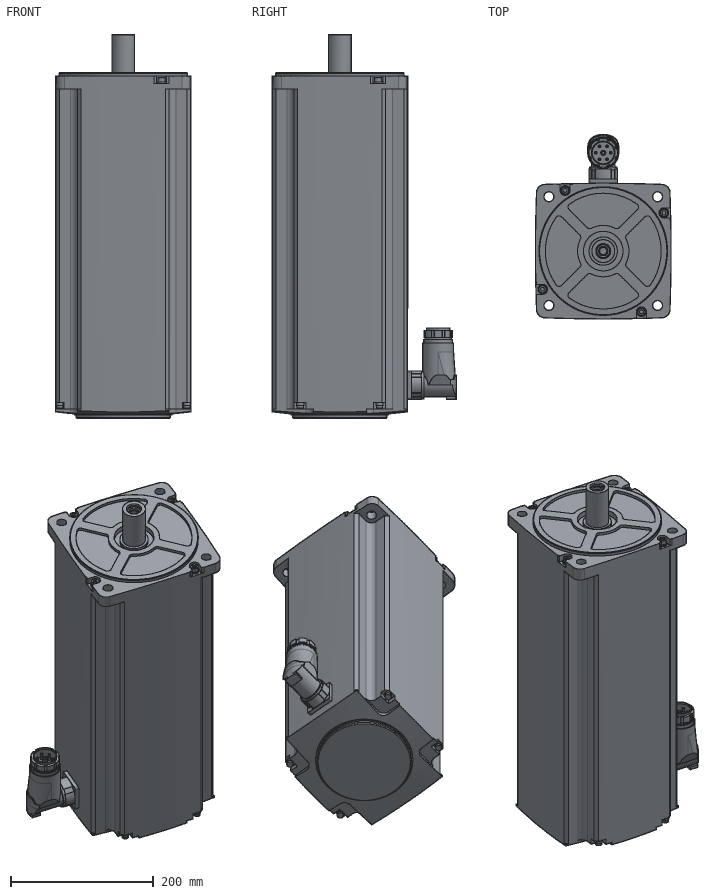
import cadquery as cq
import math

half_width = 95.0
side_bulge = 2.0
shaft_length = 58.0
total_length = 537.0
bottom_z = shaft_length - total_length
outer_reach_y = 163.3

flange_thickness = 18.0
flange_corner_radius = 12.0
mount_hole_diameter = 13.5
mount_hole_offset = 76.0

spigot_radius = 90.0
spigot_height = 5.0
spigot_chamfer = 1.0
pocket_outer_radius = 81.0
pocket_inner_radius = 36.0
pocket_depth = 4.0
pocket_corner_radius = 5.0
rib_width = 14.6
bearing_recess_radius = 27.7
bearing_recess_depth = 8.0
seal_radius = 19.8
seal_height = 4.0

shaft_radius = 16.0
centre_mouth_diameter = 21.0
centre_recess_diameter = 18.0
centre_recess_depth = 4.0
centre_counterbore_diameter = 13.0
centre_counterbore_depth = 8.0
centre_hole_diameter = 10.11
centre_hole_depth = 30.0

screw_along = 53.4
screw_across = 85.0
screw_slot_width = 14.0
screw_slot_depth = 10.0
screw_relief_width = 21.0
screw_relief_depth = 1.0
washer_diameter = 13.0
washer_height = 2.0
screw_head_diameter = 10.11
screw_head_height = 6.0
screw_socket_diameter = 5.2
screw_socket_depth = 3.0

channel_inset = 64.0
channel_radius = 10.0
channel_chamfer_sum = 153.5

cap_top_z = -465.2
cap_cut_x = 64.0
cap_cut_y = 37.0
cap_rim_z = -466.5
cap_cone_radius = 125.0
cap_hub_z = -472.5
hub_radius = 68.0
cover_radius = 66.0
cover_step_z = -474.0
cover_chamfer = 1.5

window_depth = 12.0
window_inner_y = 47.0
window_height = 8.6
cap_screw_diameter = 9.0
cap_screw_gap = 0.8
cap_washer_diameter = 10.11
cap_washer_height = 4.0

plug_z = -432.2
plate_size = 40.3
plate_outer_y = 100.5
plate_corner_radius = 2.5
collar_diameter = 40.3
collar_end_y = 114.5
collar_groove_width = 7.5
collar_groove_depth = 1.5
washer_ring_diameter = 38.0
washer_ring_end_y = 117.5
entry_radius = 16.5
barrel_radius = 21.75
barrel_y = 137.5
back_y = 147.5
back_depth = outer_reach_y - back_y
barrel_top_z = -373.3
wedge_top_z = -386.0
wedge_bottom_z = -424.0
wedge_back_step = 1.5
foot_bottom_z = -452.2
foot_top_z = -448.0
foot_front_y = 149.0
foot_half_width = 10.0
bevel_end_y = 155.0
bevel_inset = 17.0
bevel_top_z = -417.7
neck_diameter = 40.3
neck_top_z = -368.5
ring_root_diameter = 37.0
ring_bottom_z = -365.5
ring_top_z = -355.5
ring_notch_count = 8
ring_notch_width = 4.0
ring_notch_depth = 1.5
mouth_diameter = 32.73
mouth_top_z = -352.0
mouth_bore_diameter = 30.85
mouth_bore_depth = 16.0
pin_count = 6
pin_circle_radius = 10.5
pin_diameter = 3.6
pin_length = 10.0
pin_hole_diameter = 2.0
pin_hole_depth = 5.0
centre_post_diameter = 7.06
centre_post_hole_diameter = 4.0

overlap = 1.0
clear = 10.0
corners = [(sx, sy) for sx in (-1, 1) for sy in (-1, 1)]


def cylinder(radius, z_low, z_high, x=0.0, y=0.0):
    """Upright cylinder between two heights."""
    base = cq.Workplane("XY", origin=(x, y, z_low))
    return base.circle(radius).extrude(z_high - z_low)


def cylinder_y(radius, y_low, y_high):
    """Cylinder along Y on the connector entry axis."""
    base = cq.Workplane("XZ", origin=(0, y_low, plug_z))
    return base.circle(radius).extrude(y_low - y_high)


def box(x_range, y_range, z_range):
    """Axis-aligned box between pairs of limits, in any order."""
    lows = [min(r) for r in (x_range, y_range, z_range)]
    sizes = [abs(r[1] - r[0]) for r in (x_range, y_range, z_range)]
    return cq.Workplane("XY").box(*sizes, centered=False).translate(tuple(lows))


def bulged_block(z_low, z_high):
    """Square block whose four sides are shallow outward arcs."""
    c = half_width - side_bulge
    outline = (
        cq.Workplane("XY", origin=(0, 0, z_low))
        .moveTo(-c, -c)
        .threePointArc((0, -half_width), (c, -c))
        .threePointArc((half_width, 0), (c, c))
        .threePointArc((0, half_width), (-c, c))
        .threePointArc((-half_width, 0), (-c, -c))
        .close()
    )
    return outline.extrude(z_high - z_low)


def at_corner(shape, sx, sy):
    """Mirror a shape drawn in the +X +Y quadrant into the given quadrant."""
    if sx < 0:
        shape = shape.mirror("YZ")
    if sy < 0:
        shape = shape.mirror("XZ")
    return shape


def make_housing():
    """Long housing with a rounded, bevelled channel along every corner."""
    housing = bulged_block(cap_top_z, -flange_thickness)
    outside = half_width + clear
    mouth = channel_chamfer_sum - channel_inset
    beyond = channel_chamfer_sum - outside
    arc_end = channel_inset + channel_radius
    arc_mid = arc_end - channel_radius * math.sqrt(0.5)
    channel = (
        cq.Workplane("XY", origin=(0, 0, cap_top_z))
        .moveTo(beyond, outside)
        .lineTo(channel_inset, mouth)
        .lineTo(channel_inset, arc_end)
        .threePointArc((arc_mid, arc_mid), (arc_end, channel_inset))
        .lineTo(mouth, channel_inset)
        .lineTo(outside, beyond)
        .lineTo(outside, outside)
        .close()
        .extrude(-flange_thickness - cap_top_z)
    )
    window_top = cap_top_z + window_height
    window = box(
        (half_width - window_depth, half_width + clear),
        (window_inner_y, channel_inset + clear),
        (cap_top_z, window_top),
    )
    screw_x = half_width - window_depth / 2
    screw_y = (window_inner_y + channel_inset) / 2
    place = (screw_x, screw_y)
    screw = cylinder(cap_screw_diameter / 2, cap_top_z + cap_screw_gap, window_top, *place)
    washer_low = window_top - cap_washer_height
    screw = screw.union(cylinder(cap_washer_diameter / 2, washer_low, window_top + overlap, *place))
    for sx, sy in corners:
        housing = housing.cut(at_corner(channel, sx, sy))
        housing = housing.cut(at_corner(window, sx, sy))
        housing = housing.union(at_corner(screw, sx, sy))
    return housing


def make_cap():
    """End cap: cut-out corners, a shallow conical underside and a round cover."""
    cap = bulged_block(cap_hub_z, cap_top_z)
    cone = (
        cq.Workplane("XZ")
        .moveTo(0, cap_hub_z)
        .lineTo(hub_radius, cap_hub_z)
        .lineTo(cap_cone_radius, cap_rim_z)
        .lineTo(cap_cone_radius, cap_top_z)
        .lineTo(0, cap_top_z)
        .close()
        .revolve(360, (0, 0), (0, 1))
    )
    cap = cap.intersect(cone)
    cutout = box(
        (cap_cut_x, half_width + clear),
        (cap_cut_y, half_width + clear),
        (cap_hub_z, cap_top_z),
    )
    cutout = cutout.edges("|Z and <X and <Y").fillet(channel_radius)
    for sx, sy in corners:
        cap = cap.cut(at_corner(cutout, sx, sy))
    cap = cap.union(cylinder(hub_radius, cover_step_z, cap_top_z))
    cover = cylinder(cover_radius, bottom_z, cap_top_z).faces("<Z").chamfer(cover_chamfer)
    return cap.union(cover)


def make_spigot_pocket():
    """One of four rounded pockets between the diagonal ribs, drawn on the +Y side."""
    floor_z = spigot_height - pocket_depth
    ring = cylinder(pocket_outer_radius, floor_z, spigot_height)
    ring = ring.cut(cylinder(pocket_inner_radius, floor_z, spigot_height))
    tip = rib_width / math.sqrt(2)
    spread = half_width
    sector = (
        cq.Workplane("XY", origin=(0, 0, floor_z))
        .polyline([(0, tip), (spread, tip + spread), (-spread, tip + spread)])
        .close()
        .extrude(pocket_depth)
    )
    return ring.intersect(sector).edges("|Z").fillet(pocket_corner_radius)


def make_flange_screw():
    """Slot cutter and socket screw next to the +Y side."""
    floor_z = -screw_slot_depth
    edge = half_width + clear
    half_slot = screw_slot_width / 2
    slot = cylinder(half_slot, floor_z, 0, -screw_along, screw_across)
    slot = slot.union(
        box((-screw_along - half_slot, -screw_along + half_slot), (screw_across, edge), (floor_z, 0))
    )
    half_relief = screw_relief_width / 2
    relief_y = half_width - side_bulge * (screw_along / half_width) ** 2 - screw_relief_depth
    slot = slot.union(
        box((-screw_along - half_relief, -screw_along + half_relief), (relief_y, edge), (floor_z, 0))
    )
    washer_top = floor_z + washer_height
    head_top = washer_top + screw_head_height
    place = (-screw_along, screw_across)
    screw = cylinder(washer_diameter / 2, floor_z - overlap, washer_top, *place)
    screw = screw.union(cylinder(screw_head_diameter / 2, floor_z, head_top, *place))
    socket = (
        cq.Workplane("XY", origin=(*place, head_top))
        .polygon(6, screw_socket_diameter, circumscribed=True)
        .extrude(-screw_socket_depth)
    )
    return slot, screw.cut(socket)


def make_flange():
    """Mounting flange with holes, screws and the ribbed centring spigot."""
    flange = bulged_block(-flange_thickness, 0).edges("|Z").fillet(flange_corner_radius)
    spigot = cylinder(spigot_radius, -overlap, spigot_height).faces(">Z").chamfer(spigot_chamfer)
    flange = flange.union(spigot)
    flange = flange.cut(cylinder(bearing_recess_radius, spigot_height - bearing_recess_depth, spigot_height))
    hole = cylinder(mount_hole_diameter / 2, -flange_thickness, 0, mount_hole_offset, mount_hole_offset)
    for sx, sy in corners:
        flange = flange.cut(at_corner(hole, sx, sy))
    pocket = make_spigot_pocket()
    slot, screw = make_flange_screw()
    for quarter in range(4):
        turn = ((0, 0, 0), (0, 0, 1), 90 * quarter)
        flange = flange.cut(pocket.rotate(*turn)).cut(slot.rotate(*turn))
        flange = flange.union(screw.rotate(*turn))
    return flange


def make_shaft():
    """Plain shaft with a seal collar and a countersunk, stepped centre hole."""
    recess_floor = spigot_height - bearing_recess_depth
    shaft = cylinder(shaft_radius, recess_floor - overlap, shaft_length)
    shaft = shaft.union(cylinder(seal_radius, recess_floor - overlap, recess_floor + seal_height))
    bevel_depth = (centre_mouth_diameter - centre_recess_diameter) / 2
    hole = (
        cq.Workplane("XZ")
        .moveTo(0, shaft_length)
        .lineTo(centre_mouth_diameter / 2, shaft_length)
        .lineTo(centre_recess_diameter / 2, shaft_length - bevel_depth)
        .lineTo(centre_recess_diameter / 2, shaft_length - centre_recess_depth)
        .lineTo(centre_counterbore_diameter / 2, shaft_length - centre_recess_depth)
        .lineTo(centre_counterbore_diameter / 2, shaft_length - centre_counterbore_depth)
        .lineTo(centre_hole_diameter / 2, shaft_length - centre_counterbore_depth)
        .lineTo(centre_hole_diameter / 2, shaft_length - centre_hole_depth)
        .lineTo(0, shaft_length - centre_hole_depth)
        .close()
        .revolve(360, (0, 0), (0, 1))
    )
    return shaft.cut(hole)


def make_connector_entry():
    """Square plate, grooved collar and ring leading from the housing to the elbow."""
    start_y = half_width - side_bulge - overlap
    half_plate = plate_size / 2
    plate = box(
        (-half_plate, half_plate),
        (start_y, plate_outer_y),
        (plug_z - half_plate, plug_z + half_plate),
    )
    plate = plate.edges("|Y").fillet(plate_corner_radius)
    collar = cylinder_y(collar_diameter / 2, plate_outer_y - overlap, collar_end_y)
    groove_floor = collar_diameter / 2 - collar_groove_depth
    groove = box(
        (groove_floor, collar_diameter),
        (plate_outer_y, collar_end_y),
        (plug_z - collar_groove_width / 2, plug_z + collar_groove_width / 2),
    )
    for quarter in range(4):
        collar = collar.cut(groove.rotate((0, 0, plug_z), (0, 1, plug_z), 45 + 90 * quarter))
    ring = cylinder_y(washer_ring_diameter / 2, collar_end_y - overlap, washer_ring_end_y)
    return plate.union(collar).union(ring)


def elbow_prism(z_low, z_high):
    """Upright prism whose outline is the barrel circle joined to the rear half-ellipse."""
    prism = cylinder(barrel_radius, z_low, z_high, 0, barrel_y)
    back = cq.Workplane("XY", origin=(0, back_y, z_low)).ellipse(barrel_radius, back_depth)
    prism = prism.union(back.extrude(z_high - z_low))
    return prism.union(box((-barrel_radius, barrel_radius), (barrel_y, back_y), (z_low, z_high)))


def make_sloping_back():
    """Back of the barrel: a circle blending into the rear ellipse, with flat flanks between."""
    slope = (
        cq.Workplane("XY", origin=(0, barrel_y, wedge_top_z))
        .circle(barrel_radius)
        .workplane(offset=wedge_bottom_z - wedge_top_z)
        .center(0, back_y - barrel_y)
        .ellipse(barrel_radius, back_depth - wedge_back_step)
        .loft()
    )
    flank = (
        cq.Workplane("YZ", origin=(-barrel_radius, 0, 0))
        .polyline([(barrel_y, wedge_top_z), (back_y, wedge_bottom_z), (barrel_y, wedge_bottom_z)])
        .close()
        .extrude(2 * barrel_radius)
    )
    return slope.union(flank)


def make_elbow():
    """Barrel with sloping back, bevelled flanks, horizontal entry and rear foot."""
    barrel = cylinder(barrel_radius, plug_z, barrel_top_z, 0, barrel_y)
    barrel = barrel.union(make_sloping_back()).union(elbow_prism(plug_z, wedge_bottom_z))
    bevel = (
        cq.Workplane("XZ", origin=(0, bevel_end_y, 0))
        .polyline([
            (bevel_inset, plug_z),
            (barrel_radius, bevel_top_z),
            (barrel_radius + clear, bevel_top_z),
            (barrel_radius + clear, plug_z),
        ])
        .close()
        .extrude(bevel_end_y - collar_end_y)
    )
    barrel = barrel.cut(bevel).cut(bevel.mirror("YZ"))
    entry = cylinder_y(entry_radius, washer_ring_end_y - overlap, outer_reach_y)
    foot = box((-foot_half_width, foot_half_width), (foot_front_y, outer_reach_y), (foot_bottom_z, foot_top_z))
    limit = elbow_prism(foot_bottom_z, bevel_top_z).union(
        box((-barrel_radius, barrel_radius), (collar_end_y, barrel_y), (foot_bottom_z, bevel_top_z))
    )
    return barrel.union(entry.union(foot).intersect(limit))


def make_connector_mouth():
    """Neck, notched lock ring and hollow mouth with contact pins."""
    mouth = cylinder(neck_diameter / 2, barrel_top_z - overlap, neck_top_z, 0, barrel_y)
    mouth = mouth.union(cylinder(ring_root_diameter / 2, neck_top_z - overlap, ring_bottom_z, 0, barrel_y))
    ring = cylinder(neck_diameter / 2, ring_bottom_z, ring_top_z, 0, barrel_y)
    notch = box(
        (neck_diameter / 2 - ring_notch_depth, neck_diameter),
        (barrel_y - ring_notch_width / 2, barrel_y + ring_notch_width / 2),
        (ring_bottom_z, ring_top_z),
    )
    for i in range(ring_notch_count):
        angle = 360 / ring_notch_count * (i + 0.5)
        ring = ring.cut(notch.rotate((0, barrel_y, 0), (0, barrel_y, 1), angle))
    mouth = mouth.union(ring)
    return mouth.union(cylinder(mouth_diameter / 2, ring_top_z - overlap, mouth_top_z, 0, barrel_y))


def make_connector():
    """Angled plug connector on the +Y side."""
    connector = make_connector_entry().union(make_elbow()).union(make_connector_mouth())
    bore_floor = mouth_top_z - mouth_bore_depth
    connector = connector.cut(cylinder(mouth_bore_diameter / 2, bore_floor, mouth_top_z, 0, barrel_y))
    pin_top = bore_floor + pin_length
    contacts = [(0.0, barrel_y, centre_post_diameter, centre_post_hole_diameter)]
    for i in range(pin_count):
        angle = 2 * math.pi * i / pin_count
        x = pin_circle_radius * math.cos(angle)
        y = barrel_y + pin_circle_radius * math.sin(angle)
        contacts.append((x, y, pin_diameter, pin_hole_diameter))
    for x, y, outer_diameter, hole_diameter in contacts:
        contact = cylinder(outer_diameter / 2, bore_floor - overlap, pin_top, x, y)
        contact = contact.cut(cylinder(hole_diameter / 2, pin_top - pin_hole_depth, pin_top, x, y))
        connector = connector.union(contact)
    return connector


result = (
    make_housing()
    .union(make_cap())
    .union(make_flange())
    .union(make_shaft())
    .union(make_connector())
)